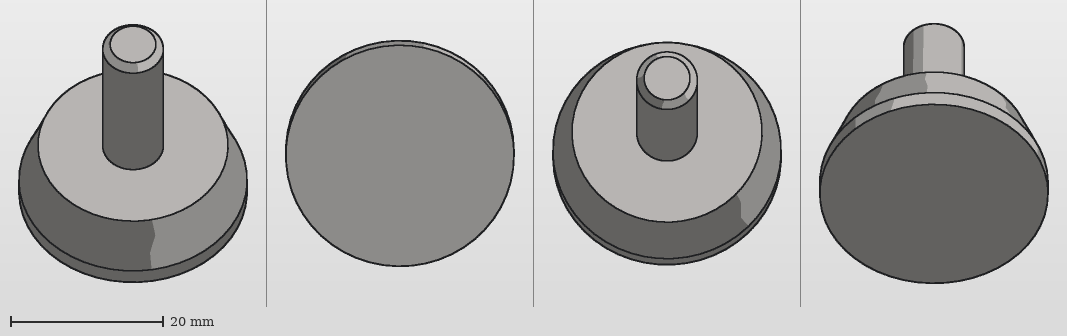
import cadquery as cq

total_height = 32.0
base_diameter = 30.0
base_top_diameter = 25.0
base_height = 10.0
rim_height = 2.5
stud_diameter = 8.0
stud_chamfer = 1.0


def make_base():
    """Round foot: a straight rim below a conical flank, centred on Z."""
    base_radius = base_diameter / 2
    top_radius = base_top_diameter / 2
    return (
        cq.Workplane("XZ")
        .moveTo(0, 0)
        .lineTo(base_radius, 0)
        .lineTo(base_radius, rim_height)
        .lineTo(top_radius, base_height)
        .lineTo(0, base_height)
        .close()
        .revolve(360, (0, 0, 0), (0, 1, 0))
    )


def make_stud():
    """Plain stud standing on the foot, with a chamfered tip."""
    return (
        cq.Workplane("XY")
        .workplane(offset=base_height)
        .circle(stud_diameter / 2)
        .extrude(total_height - base_height)
        .faces(">Z")
        .chamfer(stud_chamfer)
    )


result = make_base().union(make_stud())